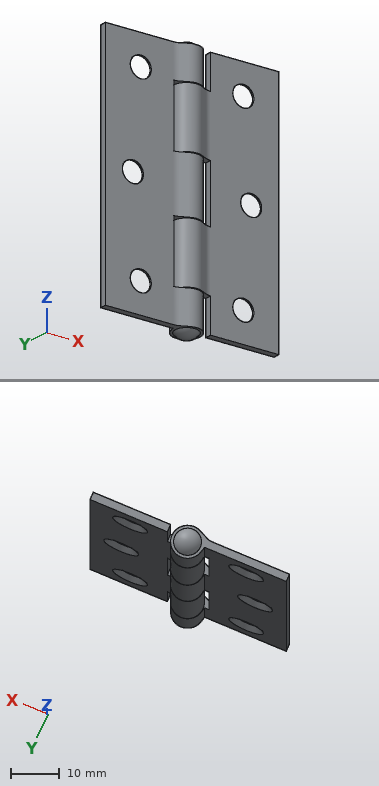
import cadquery as cq
import math

leaf_span = 44.0
leaf_height = 63.5
leaf_thickness = 1.7
plate_back = -0.3
plate_front = plate_back - leaf_thickness
plate_inner_edge = 4.65

screw_hole_diameter = 5.3
countersink_diameter = 7.8
screw_hole_land = 0.5
outer_hole_height = 24.0
screw_holes = [(13.0, outer_hole_height), (15.0, 0.0), (13.0, -outer_hole_height)]

knuckle_radius = 3.5
web_back_corner = 3.7
web_front_corner = 4.02
web_bend_radius = 2.8
end_knuckle_length = 8.6
moving_knuckle_length = 15.5
knuckle_gap = 0.2

pin_radius = knuckle_radius - leaf_thickness
dome_height = 1.5
dome_sphere_radius = 3.5

half_height = leaf_height / 2
end_knuckle_bottom = half_height - end_knuckle_length
moving_knuckle_top = end_knuckle_bottom - knuckle_gap
moving_knuckle_bottom = moving_knuckle_top - moving_knuckle_length
middle_knuckle_top = moving_knuckle_bottom - knuckle_gap

fixed_knuckles = [
    (end_knuckle_bottom, half_height),
    (-middle_knuckle_top, middle_knuckle_top),
    (-half_height, -end_knuckle_bottom),
]
moving_knuckles = [
    (moving_knuckle_bottom, moving_knuckle_top),
    (-moving_knuckle_top, -moving_knuckle_bottom),
]


def tangent_angle(corner, side):
    """Polar angle where a line from corner touches the knuckle circle.

    side is +1 for the touch point counter-clockwise of the corner, -1 for clockwise.
    """
    x, y = corner
    return math.atan2(y, x) + side * math.acos(knuckle_radius / math.hypot(x, y))


def knuckle_point(angle):
    """Point of the knuckle circle at a polar angle."""
    return (knuckle_radius * math.cos(angle), knuckle_radius * math.sin(angle))


def screw_hole():
    """Cutter for one screw hole on the Y axis, countersunk from the back of the plate."""
    hole_radius = screw_hole_diameter / 2
    land_end = plate_front + screw_hole_land
    return (
        cq.Workplane("XY")
        .moveTo(0, plate_front)
        .lineTo(hole_radius, plate_front)
        .lineTo(hole_radius, land_end)
        .lineTo(countersink_diameter / 2, plate_back)
        .lineTo(0, plate_back)
        .close()
        .revolve(360, (0, 0, 0), (0, 1, 0))
    )


def leaf_plate():
    """Flat plate on the -X side with its screw holes."""
    plate_width = leaf_span / 2 - plate_inner_edge
    plate = (
        cq.Workplane("XY")
        .box(plate_width, leaf_thickness, leaf_height, centered=(False, False, True))
        .translate((-leaf_span / 2, plate_front, 0))
    )
    for distance, height in screw_holes:
        plate = plate.cut(screw_hole().translate((-distance, 0, height)))
    return plate


def knuckle(bottom, top):
    """Solid knuckle between two heights, with its web reaching the plate on the -X side."""
    back_corner = (-web_back_corner, plate_back)
    front_corner = (-web_front_corner, plate_front)
    back_angle = tangent_angle(back_corner, -1)
    front_angle = tangent_angle(front_corner, 1)

    slope = math.radians(270) - front_angle % math.radians(360)
    bend_setback = web_bend_radius * math.tan(slope / 2)
    bend_center_x = front_corner[0] - bend_setback
    bend_center_y = plate_front - web_bend_radius

    def bend_point(turn):
        return (
            bend_center_x + web_bend_radius * math.sin(turn),
            bend_center_y + web_bend_radius * math.cos(turn),
        )

    return (
        cq.Workplane("XY", origin=(0, 0, bottom))
        .moveTo(-plate_inner_edge, plate_back)
        .lineTo(*back_corner)
        .lineTo(*knuckle_point(back_angle))
        .threePointArc((knuckle_radius, 0), knuckle_point(front_angle))
        .lineTo(*bend_point(slope))
        .threePointArc(bend_point(slope / 2), bend_point(0))
        .lineTo(-plate_inner_edge, plate_front)
        .close()
        .extrude(top - bottom)
    )


def leaf(knuckle_spans):
    """Plate on the -X side carrying a solid knuckle over each (bottom, top) span."""
    body = leaf_plate()
    for bottom, top in knuckle_spans:
        body = body.union(knuckle(bottom, top))
    return body


def pin():
    """Pin shank with a shallow spherical dome on each end of the hinge."""
    dome_base_radius = math.sqrt(dome_height * (2 * dome_sphere_radius - dome_height))
    tip = half_height + dome_height
    half_sweep = math.asin(dome_base_radius / dome_sphere_radius) / 2
    mid_radius = dome_sphere_radius * math.sin(half_sweep)
    mid_height = tip - dome_sphere_radius * (1 - math.cos(half_sweep))
    return (
        cq.Workplane("XZ")
        .moveTo(0, -tip)
        .threePointArc((mid_radius, -mid_height), (dome_base_radius, -half_height))
        .lineTo(pin_radius, -half_height)
        .lineTo(pin_radius, half_height)
        .lineTo(dome_base_radius, half_height)
        .threePointArc((mid_radius, mid_height), (0, tip))
        .close()
        .revolve(360, (0, 0, 0), (0, 1, 0))
    )


fixed_leaf = leaf(fixed_knuckles).union(pin())

pin_bore = cq.Workplane("XY").circle(pin_radius).extrude(half_height, both=True)
moving_leaf = leaf(moving_knuckles).mirror("YZ").cut(pin_bore)

result = cq.Compound.makeCompound([fixed_leaf.val(), moving_leaf.val()])